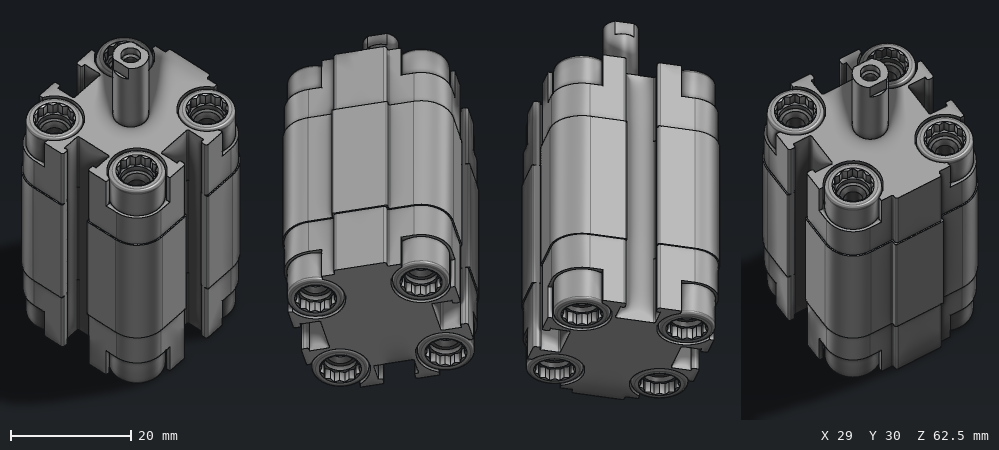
import cadquery as cq
import math


total_height = 62.5
housing_height = 48.0
end_height = 12.5

barrel_half_width = 14.5
end_half_width = 14.25
screw_offset = 9.0

barrel_pad_top = 15.5
barrel_pad_half_width = 4.75
end_pad_top = 15.25
end_pad_half_width = 4.5
pad_base_fillet = 0.25

mouth_half_width = 2.7
slot_half_width = 3.45
slot_floor = 9.5
lip_inner_face = 12.95
slot_angles = (-90, 0, 90)

barrel_outer_fillet = 0.25
barrel_inner_fillet = 0.2
end_outer_fillet = 0.45
end_inner_fillet = 0.3

pocket_depth = 6.0
pocket_diameter = 10.0
pocket_side = 6.75
collar_diameter = 9.5
collar_fillet = 0.6

socket_hexagon_width = 6.0
socket_depth = 2.2
socket_entry_diameter = 7.0
socket_entry_bottom_diameter = 6.0
socket_entry_depth = 0.25
bore_diameter = 5.7
bore_depth = 3.2
countersink_diameter = 4.5
hole_diameter = 3.25
countersink_depth = 0.95

rod_diameter = 6.0
rod_flat_width = 5.0
rod_flat_length = 2.6
rod_bore_diameter = 3.3
rod_bore_depth = 1.5
rod_drill_diameter = 2.45
rod_taper_depth = 0.3
rod_drill_depth = 7.5
drill_point_angle = 118.0


def slot_and_pad_outline(outer_face, pad_half_width, pad_top):
    """Sharp right-hand corner points of the -Y T-slot and of the +Y pad."""
    slot = [
        (slot_half_width, -slot_floor),
        (slot_half_width, -lip_inner_face),
        (mouth_half_width, -lip_inner_face),
        (mouth_half_width, -outer_face),
    ]
    pad = [(pad_half_width, outer_face), (pad_half_width, pad_top)]
    return slot, pad


def mirrored_prism(right_points, height):
    """Prism over a polygon that is symmetric about the Y axis, from its right-hand points."""
    left_points = [(-x, y) for x, y in reversed(right_points)]
    return cq.Workplane("XY").polyline(right_points + left_points).close().extrude(height)


def mirrored_and_turned(points, angles):
    """The points and their mirror images in the Y axis, turned about the origin by each angle."""
    copies = []
    for angle in angles:
        c = math.cos(math.radians(angle))
        s = math.sin(math.radians(angle))
        for x, y in points:
            copies.append((c * x - s * y, s * x + c * y))
            copies.append((-c * x - s * y, -s * x + c * y))
    return copies


def fillet_long_edges(body, points, radius, height):
    """Fillet the edges parallel to Z that pass through the given points."""
    edges = cq.Workplane("XY")
    for x, y in points:
        nearest = cq.selectors.NearestToPointSelector((x, y, height / 2))
        edges = edges.add(body.edges("|Z").edges(nearest))
    return body.newObject([body.val().fillet(radius, edges.vals())])


def housing_section(half_width, pad_top, pad_half_width, outer_fillet, inner_fillet, height):
    """Square section with corners round about the screw axes, three T-slots and a pad."""
    slot_points, pad_points = slot_and_pad_outline(half_width, pad_half_width, pad_top)
    section = cq.Workplane("XY").rect(2 * half_width, 2 * half_width).extrude(height)
    section = section.edges("|Z").fillet(half_width - screw_offset)
    section = section.union(mirrored_prism(pad_points, height))
    slot = mirrored_prism(slot_points, height)
    for angle in slot_angles:
        section = section.cut(slot.rotate((0, 0, 0), (0, 0, 1), angle))

    floor_corner, _, lip_corner, mouth_corner = slot_points
    pad_base, pad_corner = pad_points
    outer_corners = mirrored_and_turned([pad_corner], (0,))
    outer_corners += mirrored_and_turned([mouth_corner], slot_angles)
    inner_corners = mirrored_and_turned([floor_corner, lip_corner], slot_angles)
    section = fillet_long_edges(section, outer_corners, outer_fillet, height)
    section = fillet_long_edges(section, inner_corners, inner_fillet, height)
    return fillet_long_edges(section, mirrored_and_turned([pad_base], (0,)), pad_base_fillet, height)


def corner_pocket():
    """Corner pocket on the (+X, +Y) screw axis, open to both neighbouring sides."""
    round_part = cq.Workplane("XY").circle(pocket_diameter / 2).extrude(pocket_depth)
    size = barrel_half_width - pocket_side
    wall = pocket_side - screw_offset
    open_part = cq.Workplane("XY").rect(size, size, centered=False).extrude(pocket_depth)
    return round_part.union(open_part.translate((wall, wall, 0)))


def collar():
    """Round collar that rises from the pocket floor to the end face."""
    body = cq.Workplane("XY").circle(collar_diameter / 2).extrude(pocket_depth)
    return body.faces(">Z").edges().fillet(collar_fillet)


def cone(bottom_diameter, top_diameter, height, bottom):
    """Truncated cone about the Z axis, with its lower face at the given height."""
    base_point = cq.Vector(0, 0, bottom)
    return cq.Workplane(cq.Solid.makeCone(bottom_diameter / 2, top_diameter / 2, height, base_point))


def screw_socket():
    """Twelve-point socket, round bore and countersink, below the top of a collar."""
    corner_diameter = socket_hexagon_width / math.cos(math.pi / 6)
    top = cq.Workplane("XY").workplane(offset=pocket_depth)
    hexagon = top.polygon(6, corner_diameter).extrude(-socket_depth)
    socket = hexagon.union(hexagon.rotate((0, 0, 0), (0, 0, 1), 30))
    entry = cone(
        socket_entry_bottom_diameter,
        socket_entry_diameter,
        socket_entry_depth,
        pocket_depth - socket_entry_depth,
    )
    bore = top.circle(bore_diameter / 2).extrude(-bore_depth)
    countersink = cone(
        hole_diameter,
        countersink_diameter,
        countersink_depth,
        pocket_depth - bore_depth - countersink_depth,
    )
    return socket.union(entry).union(bore).union(countersink)


def at_screw_ends(shape):
    """Copies of a (+X, +Y) corner shape at the four corners of both housing ends."""
    placed = shape.translate((screw_offset, screw_offset, housing_height - pocket_depth))
    copies = []
    for angle in (0, 90, 180, 270):
        upper = placed.rotate((0, 0, 0), (0, 0, 1), angle)
        copies.append(upper)
        copies.append(upper.mirror("XY", (0, 0, housing_height / 2)))
    return copies


def make_housing():
    barrel_height = housing_height - 2 * end_height
    barrel = housing_section(
        barrel_half_width,
        barrel_pad_top,
        barrel_pad_half_width,
        barrel_outer_fillet,
        barrel_inner_fillet,
        barrel_height,
    )
    end = housing_section(
        end_half_width,
        end_pad_top,
        end_pad_half_width,
        end_outer_fillet,
        end_inner_fillet,
        end_height,
    )
    body = barrel.translate((0, 0, end_height))
    body = body.union(end)
    body = body.union(end.translate((0, 0, end_height + barrel_height)))

    for pocket in at_screw_ends(corner_pocket()):
        body = body.cut(pocket)
    for boss in at_screw_ends(collar()):
        body = body.union(boss)
    for socket in at_screw_ends(screw_socket()):
        body = body.cut(socket)
    through_holes = (
        cq.Workplane("XY")
        .rect(2 * screw_offset, 2 * screw_offset, forConstruction=True)
        .vertices()
        .circle(hole_diameter / 2)
        .extrude(housing_height)
    )
    return body.cut(through_holes)


def rod_hole():
    """Bore, taper and drilled hole with a conical tip, revolved about the rod axis."""
    bore_bottom = total_height - rod_bore_depth
    drill_bottom = total_height - rod_drill_depth
    drill_radius = rod_drill_diameter / 2
    tip_depth = drill_radius / math.tan(math.radians(drill_point_angle / 2))
    half_section = [
        (0, total_height),
        (rod_bore_diameter / 2, total_height),
        (rod_bore_diameter / 2, bore_bottom),
        (drill_radius, bore_bottom - rod_taper_depth),
        (drill_radius, drill_bottom),
        (0, drill_bottom - tip_depth),
    ]
    return cq.Workplane("XZ").polyline(half_section).close().revolve()


def make_rod():
    """Piston rod standing on the housing, with two wrench flats facing -Y and +Y."""
    rod_length = total_height - housing_height
    rod = cq.Workplane("XY").workplane(offset=housing_height).circle(rod_diameter / 2).extrude(rod_length)
    flat_waste = (
        cq.Workplane("XY")
        .workplane(offset=total_height - rod_flat_length)
        .rect(rod_diameter, rod_diameter)
        .rect(rod_diameter, rod_flat_width)
        .extrude(rod_flat_length)
    )
    return rod.cut(flat_waste).cut(rod_hole())


housing = make_housing()
piston_rod = make_rod()

result = cq.Compound.makeCompound([housing.val(), piston_rod.val()])